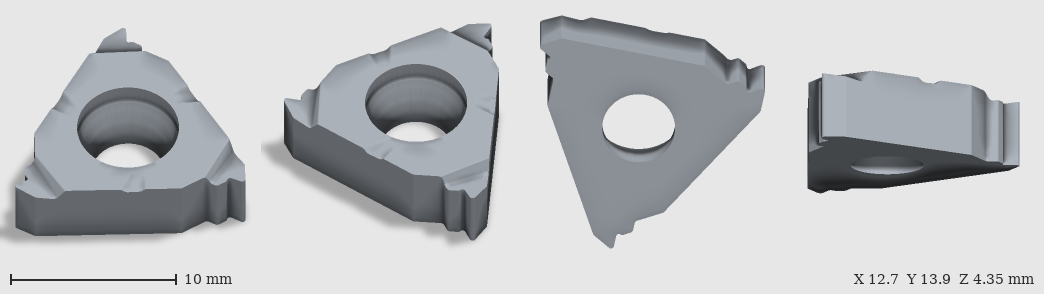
import cadquery as cq
import math


THICKNESS = 4.35
TOOTH_COUNT = 3
PITCH_ANGLE = 360 / TOOTH_COUNT
INSCRIBED_RADIUS = 9.525 / 2

TOOTH_SIDES = [
    (-60, INSCRIBED_RADIUS, 0.20),
    (-30, 5.67, 0.22),
    (-90, 1.016, 0.23),
    (-30, 6.28, 0.15),
    (10, 6.808, 0.155),
    (-90, 0.096, 0.17),
    (-30, 6.89, 0.17),
    (30, 6.98, 0.20),
]

HOLE_RADIUS = 4.4 / 2
BORE_RADIUS = 6.15 / 2
BORE_DEPTH = 1.075
SEAT_TOP_RADIUS = 2.96
SEAT_TOP_DEPTH = 1.30
SEAT_BOTTOM_DEPTH = 3.59
BORE_BLEND_RADIUS = 0.3

GROOVE_VALLEY_X = 6.241
GROOVE_VALLEY_DEPTH = 0.665
GROOVE_WALL_ANGLE = 58
GROOVE_FLOOR_ANGLE = 8.75
GROOVE_FALL_ANGLE = 4.1
GROOVE_SKEW_ANGLE = 0.9
GROOVE_VALLEY_FILLET = 0.3
GROOVE_LIP_FILLET = 0.16
GROOVE_REACH = 3.0

NOTCH_CENTER_Y = -0.204
NOTCH_DEPTH = 0.25
NOTCH_LENGTH = 1.32
NOTCH_PLAN_ANGLE = -14
NOTCH_FLOOR_WIDTH = 0.86
NOTCH_WALL_ANGLE = 39
NOTCH_FLOOR_FILLET = 0.35
NOTCH_LIP_FILLET = 0.15
NOTCH_WALL_HEIGHT = 1.0


def side_meeting(first, second):
    """Point where two sides, each given by normal angle and distance, cross."""
    a1, a2 = math.radians(first[0]), math.radians(second[0])
    d1, d2 = first[1], second[1]
    det = math.sin(a2 - a1)
    x = (d1 * math.sin(a2) - d2 * math.sin(a1)) / det
    y = (d2 * math.cos(a1) - d1 * math.cos(a2)) / det
    return cq.Vector(x, y)


def corner_arc(first, second, radius):
    """Start, middle and end of the tangent arc that rounds the corner of two sides."""
    corner = side_meeting(first, second)
    turn = math.radians((second[0] - first[0] + 180) % 360 - 180)
    tangent_length = radius * math.tan(abs(turn) / 2)
    a1, a2 = math.radians(first[0]), math.radians(second[0])
    along_first = cq.Vector(-math.sin(a1), math.cos(a1))
    along_second = cq.Vector(-math.sin(a2), math.cos(a2))
    start = corner - along_first * tangent_length
    end = corner + along_second * tangent_length
    inward = (along_second - along_first).normalized()
    middle = corner + inward * (radius / math.cos(turn / 2) - radius)
    return start, middle, end


def make_body():
    """Prism over the rounded outline of the whole insert."""
    sides = [
        (angle + i * PITCH_ANGLE, distance, radius)
        for i in range(TOOTH_COUNT)
        for angle, distance, radius in TOOTH_SIDES
    ]
    outline = cq.Workplane("XY")
    for i, side in enumerate(sides):
        following = sides[(i + 1) % len(sides)]
        start, middle, end = corner_arc(side, following, side[2])
        if i == 0:
            outline = outline.moveTo(start.x, start.y)
        else:
            outline = outline.lineTo(start.x, start.y)
        outline = outline.threePointArc((middle.x, middle.y), (end.x, end.y))
    return outline.close().extrude(THICKNESS)


def make_hole():
    """Turned cutter: straight bore, small blend, curved screw seat and through hole."""
    seat_height = SEAT_BOTTOM_DEPTH - SEAT_TOP_DEPTH
    seat_step = SEAT_TOP_RADIUS - HOLE_RADIUS
    seat_radius = (seat_step**2 + seat_height**2) / (2 * seat_step)
    half_sweep = math.asin(seat_height / seat_radius) / 2
    seat_bottom_z = THICKNESS - SEAT_BOTTOM_DEPTH
    seat_middle = (
        HOLE_RADIUS + seat_radius * (1 - math.cos(half_sweep)),
        seat_bottom_z + seat_radius * math.sin(half_sweep),
    )
    bore_bottom = (BORE_RADIUS, THICKNESS - BORE_DEPTH)
    seat_top = (SEAT_TOP_RADIUS, THICKNESS - SEAT_TOP_DEPTH)
    chord = math.dist(bore_bottom, seat_top)
    bulge = BORE_BLEND_RADIUS - math.sqrt(BORE_BLEND_RADIUS**2 - (chord / 2) ** 2)
    blend_middle = (
        (bore_bottom[0] + seat_top[0]) / 2 + bulge * (bore_bottom[1] - seat_top[1]) / chord,
        (bore_bottom[1] + seat_top[1]) / 2 - bulge * (bore_bottom[0] - seat_top[0]) / chord,
    )
    return (
        cq.Workplane("XZ")
        .lineTo(HOLE_RADIUS, 0)
        .lineTo(HOLE_RADIUS, seat_bottom_z)
        .threePointArc(seat_middle, seat_top)
        .threePointArc(blend_middle, bore_bottom)
        .lineTo(BORE_RADIUS, THICKNESS)
        .lineTo(0, THICKNESS)
        .close()
        .revolve(360, (0, 0), (0, 1))
    )


def make_groove():
    """Open V with a rounded valley, running slightly downhill across the tooth at +X."""
    skew = math.tan(math.radians(GROOVE_SKEW_ANGLE))
    fall = math.tan(math.radians(GROOVE_FALL_ANGLE))
    wall_run = GROOVE_REACH / math.tan(math.radians(GROOVE_WALL_ANGLE))
    floor_rise = GROOVE_REACH * math.tan(math.radians(GROOVE_FLOOR_ANGLE))
    section = cq.Plane(
        origin=(GROOVE_VALLEY_X, 0, THICKNESS - GROOVE_VALLEY_DEPTH),
        xDir=(1, -skew, 0),
        normal=(-skew, -1, fall),
    )
    groove = (
        cq.Workplane(section)
        .polyline([
            (0, 0),
            (GROOVE_REACH, floor_rise),
            (GROOVE_REACH, GROOVE_REACH),
            (-wall_run, GROOVE_REACH),
        ])
        .close()
        .extrude(GROOVE_REACH, both=True)
    )
    valley_point = (GROOVE_VALLEY_X, 0, THICKNESS - GROOVE_VALLEY_DEPTH)
    return groove.edges(cq.NearestToPointSelector(valley_point)).fillet(GROOVE_VALLEY_FILLET)


def make_notch():
    """Trapezoidal channel that rises inward from the edge at -X until it leaves the top face."""
    plan = math.radians(NOTCH_PLAN_ANGLE)
    inward = cq.Vector(math.cos(plan), math.sin(plan), NOTCH_DEPTH / NOTCH_LENGTH)
    section = cq.Plane(
        origin=(-INSCRIBED_RADIUS, NOTCH_CENTER_Y, THICKNESS - NOTCH_DEPTH),
        xDir=(-math.sin(plan), math.cos(plan), 0),
        normal=inward,
    )
    half_floor = NOTCH_FLOOR_WIDTH / 2
    half_top = half_floor + NOTCH_WALL_HEIGHT / math.tan(math.radians(NOTCH_WALL_ANGLE))
    return (
        cq.Workplane(section)
        .polyline([
            (-half_floor, 0),
            (half_floor, 0),
            (half_top, NOTCH_WALL_HEIGHT),
            (-half_top, NOTCH_WALL_HEIGHT),
        ])
        .close()
        .extrude(2 * NOTCH_LENGTH, both=True)
        .edges(cq.selectors.ParallelDirSelector(inward))
        .edges("<Z")
        .fillet(NOTCH_FLOOR_FILLET)
    )


def groove_lip_point():
    """Point close to the top edge of the groove wall on the +X tooth."""
    wall_run = GROOVE_VALLEY_DEPTH / math.tan(math.radians(GROOVE_WALL_ANGLE))
    return cq.Vector(GROOVE_VALLEY_X - wall_run, 0, THICKNESS)


def notch_lip_point():
    """Point close to one side edge that the -X notch leaves in the top face."""
    share = 0.3
    plan = math.radians(NOTCH_PLAN_ANGLE)
    along = cq.Vector(math.cos(plan), math.sin(plan))
    across = cq.Vector(-math.sin(plan), math.cos(plan))
    wall_run = NOTCH_DEPTH * (1 - share) / math.tan(math.radians(NOTCH_WALL_ANGLE))
    half_width = NOTCH_FLOOR_WIDTH / 2 + wall_run
    middle = cq.Vector(-INSCRIBED_RADIUS, NOTCH_CENTER_Y, THICKNESS) + along * (NOTCH_LENGTH * share)
    return middle + across * half_width


def round_top_edge(solid, point, angle, radius):
    """Fillet the top-face edge nearest to the point after turning the point about Z.

    The fillet follows every edge that joins on smoothly.
    """
    turn = math.radians(angle)
    turned = (
        point.x * math.cos(turn) - point.y * math.sin(turn),
        point.x * math.sin(turn) + point.y * math.cos(turn),
        point.z,
    )
    return solid.faces(">Z").edges(cq.NearestToPointSelector(turned)).fillet(radius)


insert = make_body().cut(make_hole())
groove = make_groove()
notch = make_notch()
for tooth in range(TOOTH_COUNT):
    angle = tooth * PITCH_ANGLE
    insert = insert.cut(groove.rotate((0, 0, 0), (0, 0, 1), angle))
    insert = insert.cut(notch.rotate((0, 0, 0), (0, 0, 1), angle))
    insert = round_top_edge(insert, groove_lip_point(), angle, GROOVE_LIP_FILLET)
    insert = round_top_edge(insert, notch_lip_point(), angle, NOTCH_LIP_FILLET)

result = insert